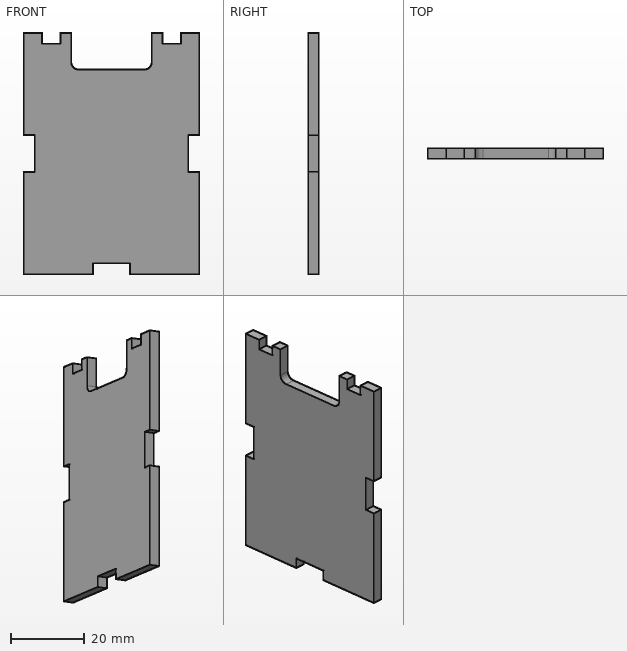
import cadquery as cq

width = 48.0
thickness = 3.0
height = 66.0

notch_depth = thickness
wide_notch = 10.0
narrow_notch = 5.0
narrow_notch_inset = 5.0

slot_width = 22.0
slot_depth = 10.0
slot_corner_radius = 2.05


def cutter(size_x, size_z, center_x, center_z):
    """Block running through the full plate thickness."""
    return cq.Workplane("XY").box(size_x, thickness, size_z).translate((center_x, 0, center_z))


plate = cq.Workplane("XY").box(width, thickness, height)

slot = cutter(slot_width, slot_depth, 0, (height - slot_depth) / 2)
slot = slot.edges("|Y and <Z").fillet(slot_corner_radius)
plate = plate.cut(slot)

plate = plate.cut(cutter(wide_notch, notch_depth, 0, (notch_depth - height) / 2))

side_notch_x = (width - notch_depth) / 2
top_notch_x = width / 2 - narrow_notch_inset - narrow_notch / 2
top_notch_z = (height - notch_depth) / 2
for side in (-1, 1):
    plate = plate.cut(cutter(notch_depth, wide_notch, side * side_notch_x, 0))
    plate = plate.cut(cutter(narrow_notch, notch_depth, side * top_notch_x, top_notch_z))

result = plate